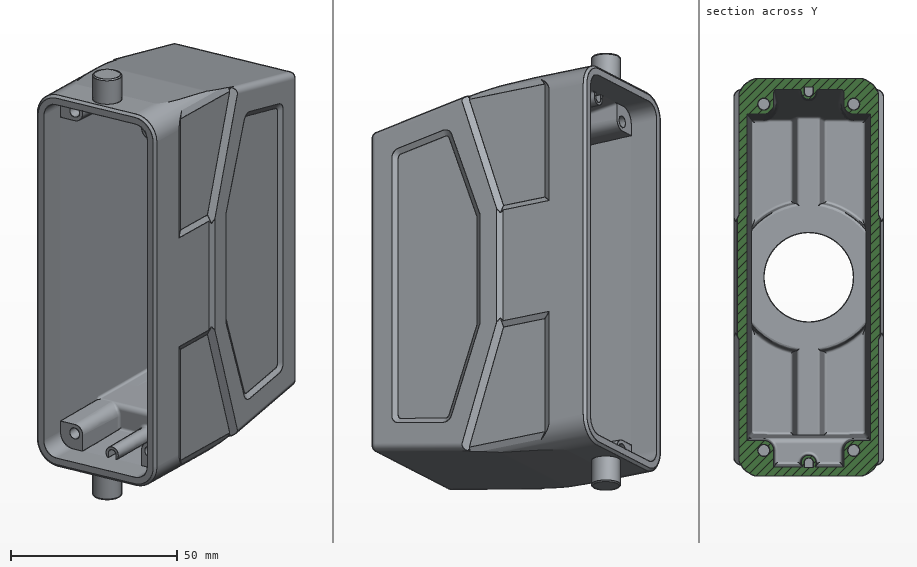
import cadquery as cq
import math


LENGTH = 76.0
MOUTH_HALF_WIDTH = 21.5
BACK_HALF_WIDTH = 22.5
MOUTH_HALF_HEIGHT = 60.0
MOUTH_CORNER_RADIUS = 7.5
MOUTH_PART_LENGTH = 44.0
RIM_CHAMFER = 0.8
BACK_EDGE_RADIUS = 2.0
CLEARANCE = 5.0

SLOPE_START_Y = 11.0
SLOPE_CHANGE_Y = 31.7
FIRST_SLOPE = math.radians(5)
SECOND_SLOPE = math.radians(10)
SLOPE_BLEND_RADIUS = 10.0
SLOPE_CHANGE_Z = MOUTH_HALF_HEIGHT - (SLOPE_CHANGE_Y - SLOPE_START_Y) * math.tan(FIRST_SLOPE)
BACK_HALF_HEIGHT = SLOPE_CHANGE_Z - (LENGTH - SLOPE_CHANGE_Y) * math.tan(SECOND_SLOPE)

RAISED_FRONT_Y = 30.9
RAISED_FRONT_HALF_HEIGHT = 18.0
RAISED_EDGE_LEAN = math.radians(18.7)
BEVEL_WIDTH = 1.64

POCKET_FLOOR_X = 20.67
POCKET_FRONT_Y = 14.9
POCKET_INNER_Z = 19.3
POCKET_FLOOR_END_Z = 55.2
POCKET_RUNOUT_X = 19.85
POCKET_RUNOUT_Z = 57.3
POCKET_FRONT_BEVEL = 2.0
POCKET_INNER_BEVEL = 1.7

PANEL_DEPTH = 1.0
PANEL_BACK_Y = 68.1
PANEL_SHOULDER_Y = 47.7
PANEL_ROOF_GAP = 8.6
PANEL_FRONT_Y = 36.9
PANEL_FRONT_HALF_HEIGHT = 17.5
PANEL_CORNER_RADIUS = 2.8

CAVITY_HALF_WIDTH = 18.6
CAVITY_HALF_HEIGHT = 57.1
CAVITY_CORNER_RADIUS = 4.5
STRAIGHT_DEPTH = 9.0
FLOOR_Y = 73.0
FLOOR_HALF_WIDTH = 17.0
FLOOR_HALF_HEIGHT = 47.3
FOOT_FILLET = 0.8
SHELF_Y = 28.0
SHELF_OUTER_Z = 56.2
SHELF_INNER_Z = 48.4
SHELF_NOSE_RADIUS = 1.7

POST_X = 13.5
POST_Z = 52.0
POST_RADIUS = 2.9
POST_DRAFT = 1.8
POST_HOLE_DIAMETER = 3.5
POST_HOLE_DEPTH = 15.0

MIDDLE_POST_Z = 55.65
MIDDLE_POST_RADIUS = 2.2
MIDDLE_POST_DRAFT = 1.0
MIDDLE_HOLE_DIAMETER = 2.7
MIDDLE_HOLE_DEPTH = 10.0

CABLE_HOLE_DIAMETER = 26.8
PAD_HEIGHT = 5.0
PAD_TOP_RADIUS = 22.2
PAD_FOOT_RADIUS = 22.9
RIB_TOP_HALF_WIDTH = 3.3
RIB_FOOT_HALF_WIDTH = 4.9
PAD_EDGE_FILLET = 0.8

PIN_DIAMETER = 8.8
PIN_Y = 6.3
PIN_END_Z = 68.0
PIN_CHAMFER = 0.4


def along_y(y):
    """Workplane at depth y with local axes (x, -z), facing the back."""
    return cq.Workplane("XZ", origin=(0, y, 0)).transformed(rotate=(180, 0, 0))


def side_plane(x):
    """Workplane at the given x with local axes (y, z)."""
    return cq.Workplane("YZ", origin=(x, 0, 0))


def side_prism(points, half_width):
    """Prism with a (y, z) outline, centred on x = 0."""
    return side_plane(-half_width).polyline(points).close().extrude(2 * half_width)


def side_taper(inner_points, inner_x, outer_points, outer_x):
    """Tapered solid between two (y, z) outlines at different x."""
    return (
        side_plane(inner_x).polyline(inner_points).close()
        .workplane(offset=outer_x - inner_x).polyline(outer_points).close()
        .loft(ruled=True)
    )


def both_sides(solid):
    return solid.union(solid.mirror("YZ"))


def mirrored_outline(upper_points):
    """Closed outline symmetric about z = 0, from its points above z = 0."""
    return upper_points + [(y, -z) for y, z in reversed(upper_points)]


def roof_z(y):
    """Height of the steeper roof slope at depth y."""
    return BACK_HALF_HEIGHT + (LENGTH - y) * math.tan(SECOND_SLOPE)


def raised_edge_y(z, shift=0.0):
    """y of the leaning front edge of the raised part, shifted towards the mouth."""
    lean_distance = (z - RAISED_FRONT_HALF_HEIGHT) * math.tan(RAISED_EDGE_LEAN)
    return RAISED_FRONT_Y + lean_distance - shift / math.cos(RAISED_EDGE_LEAN)


def mouth_part():
    """Rounded box behind the mouth, trimmed by the sloping roof and underside."""
    box = (
        along_y(0)
        .rect(2 * MOUTH_HALF_WIDTH, 2 * MOUTH_HALF_HEIGHT)
        .extrude(MOUTH_PART_LENGTH)
        .edges("|Y").fillet(MOUTH_CORNER_RADIUS)
        .faces("<Y").edges().chamfer(RIM_CHAMFER)
    )
    blend_reach = SLOPE_BLEND_RADIUS * math.tan((SECOND_SLOPE - FIRST_SLOPE) / 2)
    blend_start_y = SLOPE_CHANGE_Y - blend_reach * math.cos(FIRST_SLOPE)
    blend_start_z = SLOPE_CHANGE_Z + blend_reach * math.sin(FIRST_SLOPE)
    blend_end_y = SLOPE_CHANGE_Y + blend_reach * math.cos(SECOND_SLOPE)
    upper_half = (
        side_plane(-MOUTH_HALF_WIDTH)
        .lineTo(0, MOUTH_HALF_HEIGHT)
        .lineTo(SLOPE_START_Y, MOUTH_HALF_HEIGHT)
        .lineTo(blend_start_y, blend_start_z)
        .tangentArcPoint((blend_end_y, roof_z(blend_end_y)), relative=False)
        .lineTo(LENGTH, BACK_HALF_HEIGHT)
        .lineTo(LENGTH, 0)
        .close()
        .extrude(2 * MOUTH_HALF_WIDTH)
    )
    return box.intersect(upper_half.union(upper_half.mirror("XY")))


def raised_part():
    """Wider back part with rounded edges and a bevelled front edge that leans back above and below."""
    front_y = RAISED_FRONT_Y - BEVEL_WIDTH
    outline = mirrored_outline([(front_y, roof_z(front_y)), (LENGTH, BACK_HALF_HEIGHT)])
    block = side_prism(outline, BACK_HALF_WIDTH).edges("not <Y").fillet(BACK_EDGE_RADIUS)

    far_y = LENGTH + CLEARANCE
    sharp = raised_outline(far_y, 0)
    shifted = raised_outline(far_y, BEVEL_WIDTH)
    bevel = side_taper(shifted, MOUTH_HALF_WIDTH, sharp, BACK_HALF_WIDTH)
    return block.intersect(both_sides(bevel).union(side_prism(shifted, MOUTH_HALF_WIDTH)))


def raised_outline(far_y, shift):
    """Outline of the raised part with its front edge shifted towards the mouth."""
    top_z = MOUTH_HALF_HEIGHT + CLEARANCE
    return mirrored_outline([
        (raised_edge_y(RAISED_FRONT_HALF_HEIGHT, shift), RAISED_FRONT_HALF_HEIGHT),
        (raised_edge_y(top_z, shift), top_z),
        (far_y, top_z),
    ])


def pocket_outline(x):
    """Outline of a corner pocket at the given x; its walls open outwards."""
    steps = (x - POCKET_FLOOR_X) / (MOUTH_HALF_WIDTH - POCKET_FLOOR_X)
    front_y = POCKET_FRONT_Y - steps * POCKET_FRONT_BEVEL
    inner_z = POCKET_INNER_Z - steps * POCKET_INNER_BEVEL
    shift = BEVEL_WIDTH * (BACK_HALF_WIDTH - x) / (BACK_HALF_WIDTH - POCKET_FLOOR_X)
    top_z = MOUTH_HALF_HEIGHT + CLEARANCE
    return [
        (front_y, inner_z),
        (raised_edge_y(inner_z, shift), inner_z),
        (raised_edge_y(top_z, shift), top_z),
        (front_y, top_z),
    ]


def corner_pockets():
    """Cutters for the four pockets; each floor leans inwards near the roof or underside."""
    top_z = MOUTH_HALF_HEIGHT + CLEARANCE
    lean = (POCKET_FLOOR_X - POCKET_RUNOUT_X) / (POCKET_RUNOUT_Z - POCKET_FLOOR_END_Z)
    deepest_x = POCKET_FLOOR_X - lean * (top_z - POCKET_FLOOR_END_Z)
    walls = side_taper(pocket_outline(deepest_x), deepest_x, pocket_outline(BACK_HALF_WIDTH), BACK_HALF_WIDTH)
    floor = (
        cq.Workplane("XZ")
        .moveTo(POCKET_FLOOR_X, 0)
        .lineTo(POCKET_FLOOR_X, POCKET_FLOOR_END_Z)
        .lineTo(deepest_x, top_z)
        .lineTo(BACK_HALF_WIDTH, top_z)
        .lineTo(BACK_HALF_WIDTH, 0)
        .close()
        .extrude(-LENGTH)
    )
    pocket = both_sides(walls.intersect(floor))
    return pocket.union(pocket.mirror("XY"))


def side_panels():
    """Cutters for the sunken panels, with bevelled walls and rounded back and shoulder corners."""
    outline = mirrored_outline([
        (PANEL_FRONT_Y, PANEL_FRONT_HALF_HEIGHT),
        (PANEL_SHOULDER_Y, roof_z(PANEL_SHOULDER_Y) - PANEL_ROOF_GAP),
        (PANEL_BACK_Y, roof_z(PANEL_BACK_Y) - PANEL_ROOF_GAP),
    ])
    prism = side_plane(0).polyline(outline).close().extrude(PANEL_DEPTH)
    rounded = prism.edges("|X").edges("not <Y").fillet(PANEL_CORNER_RADIUS)
    bevel_angle = math.degrees(math.atan2(BEVEL_WIDTH, PANEL_DEPTH))
    panel = (
        rounded.faces("<X").wires().toPending()
        .extrude(-PANEL_DEPTH, taper=bevel_angle, combine=False)
        .translate((BACK_HALF_WIDTH, 0, 0))
    )
    return both_sides(panel)


def corner_posts():
    """Four drafted posts with rounded corners, reaching past the cavity floor."""
    post_depth = LENGTH - STRAIGHT_DEPTH
    outer_x = CAVITY_HALF_WIDTH + CLEARANCE
    outer_z = CAVITY_HALF_HEIGHT + CLEARANCE
    width = outer_x - (POST_X - POST_RADIUS)
    height = outer_z - (POST_Z - POST_RADIUS)
    posts = cq.Workplane()
    for side in (-1, 1):
        for end in (-1, 1):
            post = (
                along_y(STRAIGHT_DEPTH)
                .center(side * (outer_x - width / 2), end * (outer_z - height / 2))
                .sketch().rect(width, height).vertices().fillet(POST_RADIUS).finalize()
                .extrude(post_depth, taper=-POST_DRAFT)
            )
            posts = posts.union(post)
    return posts


def middle_posts():
    return (
        along_y(STRAIGHT_DEPTH)
        .pushPoints([(0, -MIDDLE_POST_Z), (0, MIDDLE_POST_Z)])
        .circle(MIDDLE_POST_RADIUS)
        .extrude(LENGTH - STRAIGHT_DEPTH, taper=-MIDDLE_POST_DRAFT)
    )


def floor_pad():
    """Round pad with a rib towards the roof and the underside, its flanks drafted and edges rounded."""
    ring_draft = math.degrees(math.atan2(PAD_FOOT_RADIUS - PAD_TOP_RADIUS, PAD_HEIGHT))
    rib_draft = math.degrees(math.atan2(RIB_FOOT_HALF_WIDTH - RIB_TOP_HALF_WIDTH, PAD_HEIGHT))
    top_y = FLOOR_Y - PAD_HEIGHT
    ring = along_y(top_y).circle(PAD_TOP_RADIUS).extrude(PAD_HEIGHT, taper=-ring_draft)
    rib = (
        along_y(top_y)
        .rect(2 * RIB_TOP_HALF_WIDTH, 2 * MOUTH_HALF_HEIGHT)
        .extrude(PAD_HEIGHT, taper=-rib_draft)
    )
    pad = ring.union(rib)
    return pad.faces("<Y").edges().fillet(PAD_EDGE_FILLET)


def shelf_face(space):
    """Face of the shelf between the two lower posts, turned towards the mouth."""
    zone = cq.selectors.BoxSelector(
        (-POST_X, SHELF_Y - FOOT_FILLET, -SHELF_OUTER_Z),
        (POST_X, SHELF_Y + FOOT_FILLET, -SHELF_INNER_Z),
    )
    return space.faces(zone)


def roof_face(space):
    """Sloping face of the cavity under the roof."""
    zone = cq.selectors.BoxSelector(
        (-POST_X, STRAIGHT_DEPTH, FLOOR_HALF_HEIGHT),
        (POST_X, FLOOR_Y, CAVITY_HALF_HEIGHT),
    )
    return space.faces(zone).faces(cq.selectors.AreaNthSelector(-1))


def cavity():
    """Space inside the hood: a straight rounded mouth, then a drafted pocket around the posts."""
    mouth = (
        along_y(0)
        .rect(2 * CAVITY_HALF_WIDTH, 2 * CAVITY_HALF_HEIGHT)
        .extrude(STRAIGHT_DEPTH)
        .edges("|Y").fillet(CAVITY_CORNER_RADIUS)
    )
    height_outline = [
        (STRAIGHT_DEPTH, CAVITY_HALF_HEIGHT),
        (FLOOR_Y, FLOOR_HALF_HEIGHT),
        (FLOOR_Y, -FLOOR_HALF_HEIGHT),
        (SHELF_Y, -SHELF_INNER_Z),
        (SHELF_Y, -SHELF_OUTER_Z),
        (STRAIGHT_DEPTH, -CAVITY_HALF_HEIGHT),
    ]
    width_outline = [
        (-CAVITY_HALF_WIDTH, STRAIGHT_DEPTH),
        (CAVITY_HALF_WIDTH, STRAIGHT_DEPTH),
        (FLOOR_HALF_WIDTH, FLOOR_Y),
        (-FLOOR_HALF_WIDTH, FLOOR_Y),
    ]
    deep = side_prism(height_outline, CAVITY_HALF_WIDTH)
    deep = deep.intersect(
        cq.Workplane("XY").polyline(width_outline).close().extrude(CAVITY_HALF_HEIGHT, both=True)
    )
    deep = deep.cut(corner_posts()).cut(middle_posts()).cut(floor_pad())
    deep = shelf_face(deep).edges(">Z").fillet(SHELF_NOSE_RADIUS)
    deep = shelf_face(deep).edges("not >Z").fillet(FOOT_FILLET)
    deep = deep.faces(">Y").edges().fillet(FOOT_FILLET)
    deep = roof_face(deep).edges("not <Y").fillet(FOOT_FILLET)
    return mouth.union(deep)


def screw_holes():
    """Round holes in the corner posts and slots, open to the wall, in the middle posts."""
    spots = [(x, z) for x in (-POST_X, POST_X) for z in (-POST_Z, POST_Z)]
    holes = along_y(STRAIGHT_DEPTH).pushPoints(spots).circle(POST_HOLE_DIAMETER / 2).extrude(POST_HOLE_DEPTH)
    radius = MIDDLE_HOLE_DIAMETER / 2
    slot = (
        along_y(STRAIGHT_DEPTH)
        .moveTo(radius, -CAVITY_HALF_HEIGHT)
        .lineTo(radius, -MIDDLE_POST_Z)
        .threePointArc((0, radius - MIDDLE_POST_Z), (-radius, -MIDDLE_POST_Z))
        .lineTo(-radius, -CAVITY_HALF_HEIGHT)
        .close()
        .extrude(MIDDLE_HOLE_DEPTH)
    )
    return holes.union(slot).union(slot.mirror("XY"))


def cable_hole():
    return along_y(0).circle(CABLE_HOLE_DIAMETER / 2).extrude(LENGTH)


def locking_pins():
    """Pin on the roof and its twin on the underside, rooted in the end walls."""
    pin = (
        cq.Workplane("XY", origin=(0, PIN_Y, CAVITY_HALF_HEIGHT))
        .circle(PIN_DIAMETER / 2)
        .extrude(PIN_END_Z - CAVITY_HALF_HEIGHT)
        .faces(">Z").edges().chamfer(PIN_CHAMFER)
    )
    return pin.union(pin.mirror("XY"))


body = mouth_part().union(raised_part())
body = body.cut(corner_pockets()).cut(side_panels())
body = body.union(locking_pins())
result = body.cut(cavity()).cut(screw_holes()).cut(cable_hole())